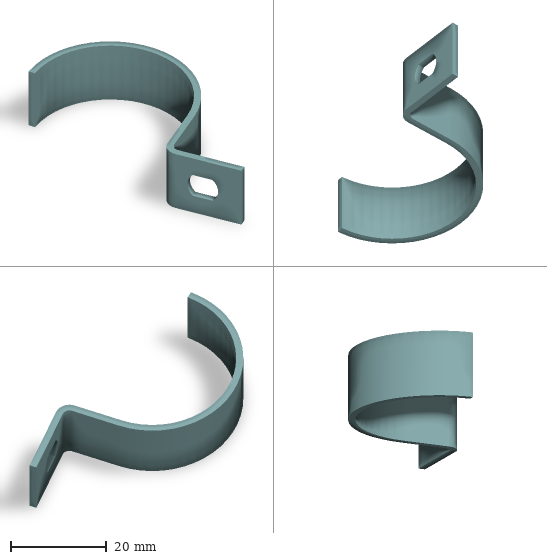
import cadquery as cq
import math

thickness = 1.5
strip_width = 14.0

outer_radius = 19.0
inner_radius = outer_radius - thickness
lip_angle = 5.0
lip_length = 0.5

tab_face_y = -13.5
tab_end_x = 35.5
bend_inner_radius = 1.5
bend_outer_radius = bend_inner_radius + thickness

hole_diameter = 7.0
hole_height = 5.4
hole_edge_distance = 8.8


def polar(radius, angle):
    """Point at a radius and an angle in degrees from +X."""
    radians = math.radians(angle)
    return (radius * math.cos(radians), radius * math.sin(radians))


def lip_point(radius, arc_end):
    """End of the straight lip that leaves the arc of the given radius tangentially."""
    arc_x, arc_y = polar(radius, arc_end)
    step_x, step_y = polar(lip_length, arc_end + 90.0)
    return (arc_x + step_x, arc_y + step_y)


def make_strip():
    """Bent strip: lip, half-round clip, straight leg and tab, extruded to its width."""
    arc_end = 180.0 - lip_angle
    crown = 90.0
    bend_x = inner_radius + bend_outer_radius
    bend_y = tab_face_y + bend_outer_radius
    mid_bend = 225.0
    mid_x, mid_y = polar(1.0, mid_bend)
    bend_outer_mid = (bend_x + bend_outer_radius * mid_x, bend_y + bend_outer_radius * mid_y)
    bend_inner_mid = (bend_x + bend_inner_radius * mid_x, bend_y + bend_inner_radius * mid_y)
    tab_back_y = tab_face_y + thickness

    return (
        cq.Workplane("XY")
        .workplane(offset=-strip_width / 2)
        .moveTo(*lip_point(outer_radius, arc_end))
        .lineTo(*polar(outer_radius, arc_end))
        .threePointArc(polar(outer_radius, crown), (outer_radius, 0))
        .lineTo(outer_radius, bend_y)
        .threePointArc(bend_inner_mid, (bend_x, tab_back_y))
        .lineTo(tab_end_x, tab_back_y)
        .lineTo(tab_end_x, tab_face_y)
        .lineTo(bend_x, tab_face_y)
        .threePointArc(bend_outer_mid, (inner_radius, bend_y))
        .lineTo(inner_radius, 0)
        .threePointArc(polar(inner_radius, crown), polar(inner_radius, arc_end))
        .lineTo(*lip_point(inner_radius, arc_end))
        .close()
        .extrude(strip_width)
    )


def make_hole_cutter():
    """Cylinder along Y through the tab, flattened above and below."""
    hole_x = tab_end_x - hole_edge_distance
    cutter_length = 3 * thickness
    tab_mid_y = tab_face_y + thickness / 2
    cylinder = (
        cq.Workplane("XZ")
        .circle(hole_diameter / 2)
        .extrude(cutter_length / 2, both=True)
    )
    flats = cq.Workplane("XY").box(hole_diameter, cutter_length, hole_height)
    return cylinder.intersect(flats).translate((hole_x, tab_mid_y, 0))


result = make_strip().cut(make_hole_cutter())